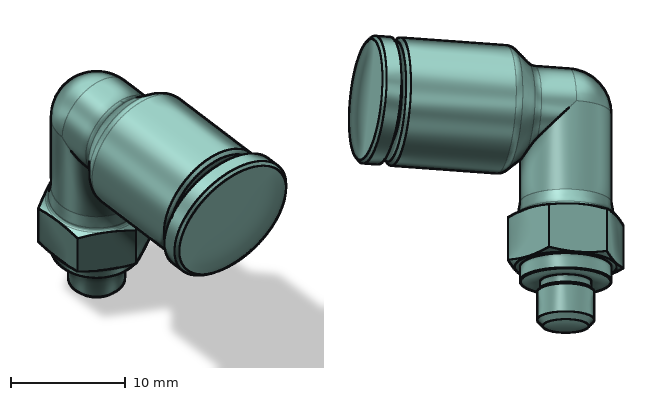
import cadquery as cq
import math

ELBOW_RADIUS = 4.0
TOTAL_HEIGHT = 25.0
SOCKET_RADIUS = 5.62
AXIS_HEIGHT = TOTAL_HEIGHT - SOCKET_RADIUS

THREAD_RADIUS = 2.5
THREAD_TIP_RADIUS = 2.0
THREAD_TIP_HEIGHT = 0.55
UNDERCUT_RADIUS = 2.25
THREAD_TOP = 3.1
UNDERCUT_BOTTOM = THREAD_TOP + (THREAD_RADIUS - UNDERCUT_RADIUS)
FLANGE_BOTTOM = 4.02
FLANGE_CHAMFER = 0.08

HEX_ACROSS_FLATS = 9.0
HEX_BOTTOM = 5.4
HEX_TOP = 9.82
HEX_CORNER_RADIUS = HEX_ACROSS_FLATS / math.sqrt(3)
HEX_CONE_RADIUS = 4.45
HEX_CONE_ANGLE = 20.0
HEX_CORNER_DROP = (HEX_CORNER_RADIUS - HEX_CONE_RADIUS) * math.tan(math.radians(HEX_CONE_ANGLE))

FLARE_TOP = 11.25
FLARE_BOTTOM = 10.1
FLARE_RADIUS = 4.2

SHOULDER_START = 3.5
SHOULDER_ANGLE = 40.0
SHOULDER_BLEND = 1.0
EDGE_MARGIN = 0.25
SOCKET_END = 15.6
SOCKET_CHAMFER = 0.35

SLEEVE_RADIUS = 3.75
COLLAR_START = 16.32
COLLAR_END = 17.95
COLLAR_WIDTH = 13.0
COLLAR_HEIGHT = 11.0
COLLAR_CHAMFER = 0.3


def stem():
    """Everything round about the Z axis, from the elbow centre down to the thread tip."""
    below_flare = [
        (ELBOW_RADIUS, HEX_TOP),
        (ELBOW_RADIUS, FLANGE_BOTTOM + FLANGE_CHAMFER),
        (ELBOW_RADIUS - FLANGE_CHAMFER, FLANGE_BOTTOM),
        (UNDERCUT_RADIUS, FLANGE_BOTTOM),
        (UNDERCUT_RADIUS, UNDERCUT_BOTTOM),
        (THREAD_RADIUS, THREAD_TOP),
        (THREAD_RADIUS, THREAD_TIP_HEIGHT),
        (THREAD_TIP_RADIUS, 0),
        (0, 0),
    ]
    return (
        cq.Workplane("XZ")
        .moveTo(0, AXIS_HEIGHT)
        .lineTo(ELBOW_RADIUS, AXIS_HEIGHT)
        .lineTo(ELBOW_RADIUS, FLARE_TOP)
        .lineTo(FLARE_RADIUS, FLARE_BOTTOM)
        .tangentArcPoint((HEX_CONE_RADIUS, HEX_TOP), relative=False)
        .polyline(below_flare, includeCurrent=True)
        .close()
        .revolve(360, (0, 0), (0, 1))
    )


def hexagon():
    """Hexagon whose corners are turned down by a cone at both ends."""
    height = HEX_TOP - HEX_BOTTOM
    prism = cq.Workplane("XY", origin=(0, 0, HEX_BOTTOM)).polygon(6, 2 * HEX_CORNER_RADIUS).extrude(height)
    turned_profile = [
        (0, HEX_BOTTOM),
        (HEX_CONE_RADIUS, HEX_BOTTOM),
        (HEX_CORNER_RADIUS, HEX_BOTTOM + HEX_CORNER_DROP),
        (HEX_CORNER_RADIUS, HEX_TOP - HEX_CORNER_DROP),
        (HEX_CONE_RADIUS, HEX_TOP),
        (0, HEX_TOP),
    ]
    turned = cq.Workplane("XZ").polyline(turned_profile).close().revolve(360, (0, 0), (0, 1))
    return prism.intersect(turned)


def socket():
    """Round socket along +X: neck, blended conical shoulder, body with a chamfered end."""
    angle = math.radians(SHOULDER_ANGLE)
    shoulder_end = SHOULDER_START + (SOCKET_RADIUS - ELBOW_RADIUS) / math.tan(angle)
    profile = [
        (0, 0),
        (0, ELBOW_RADIUS),
        (SHOULDER_START, ELBOW_RADIUS),
        (shoulder_end, SOCKET_RADIUS),
        (SOCKET_END - SOCKET_CHAMFER, SOCKET_RADIUS),
        (SOCKET_END, SOCKET_RADIUS - SOCKET_CHAMFER),
        (SOCKET_END, 0),
    ]
    body = (
        cq.Workplane("XZ", origin=(0, 0, AXIS_HEIGHT))
        .polyline(profile).close().revolve(360, (0, 0), (1, 0))
    )

    for x in (SHOULDER_START, shoulder_end):
        shoulder_edge = cq.selectors.BoxSelector(
            (x - EDGE_MARGIN, -SOCKET_RADIUS - EDGE_MARGIN, AXIS_HEIGHT - SOCKET_RADIUS - EDGE_MARGIN),
            (x + EDGE_MARGIN, SOCKET_RADIUS + EDGE_MARGIN, AXIS_HEIGHT + SOCKET_RADIUS + EDGE_MARGIN),
            boundingbox=True)
        body = body.edges(shoulder_edge).fillet(SHOULDER_BLEND)
    return body


def release_collar():
    """Oval collar with a chamfered outer rim, carried by a round sleeve."""
    sleeve = (
        cq.Workplane("YZ", origin=(SOCKET_END, 0, AXIS_HEIGHT))
        .circle(SLEEVE_RADIUS).extrude(COLLAR_START - SOCKET_END)
    )
    collar = (
        cq.Workplane("YZ", origin=(COLLAR_START, 0, AXIS_HEIGHT))
        .ellipse(COLLAR_WIDTH / 2, COLLAR_HEIGHT / 2).extrude(COLLAR_END - COLLAR_START)
        .faces(">X").edges().chamfer(COLLAR_CHAMFER)
    )
    return sleeve.union(collar)


elbow_ball = cq.Workplane("XY", origin=(0, 0, AXIS_HEIGHT)).sphere(ELBOW_RADIUS)

result = stem().union(hexagon()).union(socket()).union(elbow_ball).union(release_collar())